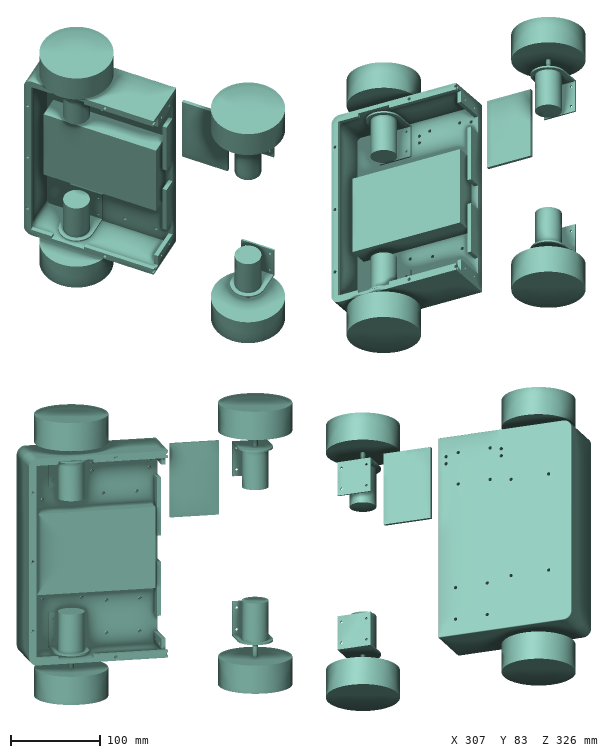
import cadquery as cq

WHEEL_DIAMETER = 83.0
WHEEL_WIDTH = 32.5
TRACK_WIDTH = 326.0
WHEELBASE = 211.5
SHAFT_DIAMETER = 6.0
MOTOR_DIAMETER = 30.0
MOTOR_END = 65.5

BRACKET_WIDTH = 40.0
BRACKET_HEIGHT = 40.0
BRACKET_THICKNESS = 2.0
BRACKET_TOP = 112.5
BRACKET_HOLE_DIAMETER = 3.0
BRACKET_HOLE_SPACING_X = 30.0
BRACKET_HOLE_SPACING_Z = 25.0

HOUSING_LENGTH = 160.0
HOUSING_HEIGHT = 239.3
HOUSING_LEFT = -54.0
HOUSING_FRONT = -23.0
HOUSING_BACK = 37.0
FLOOR_FACE = 27.0
CORNER_RADIUS = 9.8
BACK_EDGE = 1.0
WALL = 5.0
RIM_WIDTH = 8.5
RIM_DEPTH = 5.0

TAB_THICKNESS = 5.0
END_TAB_FRONT = -11.5
MIDDLE_TAB_FRONT = 11.0
WINDOW_TOP = 100.7
WINDOW_BOTTOM = 80.0
GAP_TOP = 12.7
GAP_BOTTOM = -17.5
TAB_HOLE_DIAMETER = 3.0
TAB_HOLE_INSET = 8.8

SCREW_DIAMETER = 4.0
RIM_HOLE_INSET = 4.2
RIM_HOLE_SPACING_Z = 80.0
RIM_HOLE_X = 45.5
END_HOLE_X = 105.5
FLOOR_HOLE_DIAMETER = 4.0

BATTERY_LEFT = -41.0
BATTERY_LENGTH = 138.5
BATTERY_HEIGHT = 94.0
BATTERY_CENTER_Z = 2.0
BATTERY_FRONT = 1.3
BOARD_LEFT = 119.3
BOARD_LENGTH = 56.5
BOARD_TOP = 114.8
BOARD_HEIGHT = 85.0
BOARD_THICKNESS = 4.0

HOUSING_RIGHT = HOUSING_LEFT + HOUSING_LENGTH
INNER_TOP = HOUSING_HEIGHT / 2 - WALL

FLOOR_HOLES = [
    (30.3, 96.2), (30.3, 87.7), (96.8, 96.2), (96.8, 87.7),
    (43.7, 99.0), (82.0, 99.0), (43.7, 61.3), (82.0, 61.3),
    (-26.7, 57.7), (18.5, 57.7), (-26.7, -57.7), (18.5, -57.7),
    (47.3, -62.5), (85.5, -62.5), (47.3, -100.5), (85.5, -100.5),
]


def box(x0, x1, y0, y1, z0, z1):
    """Box between two opposite corners."""
    return cq.Workplane("XY").box(x1 - x0, y1 - y0, z1 - z0, centered=False).translate((x0, y0, z0))


def rod_z(diameter, z0, z1):
    """Round rod along the left wheel axis."""
    return cq.Workplane("XY").workplane(offset=z0).circle(diameter / 2).extrude(z1 - z0)


def rods_y(points, diameter, y0, y1):
    """Round rods along Y at the given (x, z) points."""
    return (
        cq.Workplane("XZ", origin=(0, y0, 0)).pushPoints(points).circle(diameter / 2).extrude(y0 - y1)
    )


def inset_block(inset, y0, y1):
    """Housing outline moved inwards on its three walled sides, and running out through the open +X side."""
    half = HOUSING_HEIGHT / 2 - inset
    block = box(HOUSING_LEFT + inset, HOUSING_RIGHT, y0, y1, -half, half)
    return block.edges("|Y and <X").fillet(CORNER_RADIUS - inset)


def make_tabs():
    """Four tabs along the open side; the two outer ones are taller and carry screw holes."""
    x0 = HOUSING_RIGHT - TAB_THICKNESS
    spans = [
        (END_TAB_FRONT, WINDOW_TOP, INNER_TOP),
        (MIDDLE_TAB_FRONT, GAP_TOP, WINDOW_BOTTOM),
        (MIDDLE_TAB_FRONT, -WINDOW_BOTTOM, GAP_BOTTOM),
        (END_TAB_FRONT, -INNER_TOP, -WINDOW_TOP),
    ]
    tabs = cq.Workplane("XY")
    for front, z0, z1 in spans:
        tabs = tabs.union(box(x0, HOUSING_RIGHT, front, FLOOR_FACE, z0, z1))
    hole_z = (WINDOW_TOP + INNER_TOP) / 2
    centers = [
        (y, z)
        for y in (END_TAB_FRONT + TAB_HOLE_INSET, FLOOR_FACE - TAB_HOLE_INSET)
        for z in (-hole_z, hole_z)
    ]
    holes = (
        cq.Workplane("YZ", origin=(x0, 0, 0))
        .pushPoints(centers)
        .circle(TAB_HOLE_DIAMETER / 2)
        .extrude(TAB_THICKNESS)
    )
    return tabs.cut(holes)


def make_housing():
    """Tray with a wider front rim, end tabs, bracket notches, shaft holes and screw holes."""
    rim_back = HOUSING_FRONT + RIM_DEPTH
    housing = inset_block(0, HOUSING_FRONT, HOUSING_BACK)
    housing = housing.faces(">Y").edges().fillet(BACK_EDGE)
    housing = housing.cut(inset_block(RIM_WIDTH, HOUSING_FRONT, rim_back))
    housing = housing.cut(inset_block(WALL, rim_back, FLOOR_FACE))
    housing = housing.union(make_tabs())

    half = BRACKET_WIDTH / 2
    housing = housing.cut(box(-half, half, HOUSING_FRONT, rim_back, -INNER_TOP, INNER_TOP))

    housing = housing.cut(rod_z(SHAFT_DIAMETER, -HOUSING_HEIGHT / 2, HOUSING_HEIGHT / 2))

    rim_z = HOUSING_HEIGHT / 2 - RIM_HOLE_INSET
    rim_holes = [(HOUSING_LEFT + RIM_HOLE_INSET, i * RIM_HOLE_SPACING_Z) for i in (-1, 0, 1)]
    rim_holes += [(x, z) for x in (RIM_HOLE_X, END_HOLE_X) for z in (-rim_z, rim_z)]
    housing = housing.cut(rods_y(rim_holes, SCREW_DIAMETER, HOUSING_FRONT, rim_back))
    return housing.cut(rods_y(FLOOR_HOLES, FLOOR_HOLE_DIAMETER, FLOOR_FACE, HOUSING_BACK))


def make_bracket():
    """Angle bracket: a drilled plate on the floor side and a round-nosed flange around the motor."""
    half = BRACKET_WIDTH / 2
    z0 = BRACKET_TOP - BRACKET_HEIGHT
    flange_z = BRACKET_TOP - BRACKET_THICKNESS
    plate = box(-half, half, FLOOR_FACE - BRACKET_THICKNESS, FLOOR_FACE, z0, BRACKET_TOP)
    flange = box(-half, half, 0, FLOOR_FACE, flange_z, BRACKET_TOP)
    nose = rod_z(BRACKET_WIDTH, flange_z, BRACKET_TOP)
    center_z = BRACKET_TOP - BRACKET_HEIGHT / 2
    holes = [
        (sx * BRACKET_HOLE_SPACING_X / 2, center_z + sz * BRACKET_HOLE_SPACING_Z / 2)
        for sx in (-1, 1)
        for sz in (-1, 1)
    ]
    plate = plate.cut(rods_y(holes, BRACKET_HOLE_DIAMETER, FLOOR_FACE - BRACKET_THICKNESS, FLOOR_FACE))
    return plate.union(flange).union(nose)


def make_wheel_unit(x, upper):
    """Wheel, shaft, motor and bracket as one solid; the lower unit mirrors the upper one."""
    wheel_top = TRACK_WIDTH / 2
    wheel_inner = wheel_top - WHEEL_WIDTH
    unit = rod_z(WHEEL_DIAMETER, wheel_inner, wheel_top)
    unit = unit.union(rod_z(SHAFT_DIAMETER, BRACKET_TOP, wheel_inner))
    unit = unit.union(rod_z(MOTOR_DIAMETER, MOTOR_END, BRACKET_TOP))
    unit = unit.union(make_bracket())
    if not upper:
        unit = unit.mirror("XY")
    return unit.translate((x, 0, 0))


def make_battery():
    """Plain block standing on the housing floor."""
    z0 = BATTERY_CENTER_Z - BATTERY_HEIGHT / 2
    return box(
        BATTERY_LEFT, BATTERY_LEFT + BATTERY_LENGTH, BATTERY_FRONT, FLOOR_FACE, z0, z0 + BATTERY_HEIGHT
    )


def make_board():
    """Thin plate beside the housing, level with its floor."""
    return box(
        BOARD_LEFT, BOARD_LEFT + BOARD_LENGTH,
        FLOOR_FACE - BOARD_THICKNESS, FLOOR_FACE,
        BOARD_TOP - BOARD_HEIGHT, BOARD_TOP,
    )


housing = make_housing()
battery = make_battery()
board = make_board()
wheel_units = [make_wheel_unit(x, upper) for x in (0, WHEELBASE) for upper in (True, False)]

result = cq.Compound.makeCompound(
    [housing.val(), battery.val(), board.val(), *[unit.val() for unit in wheel_units]]
)